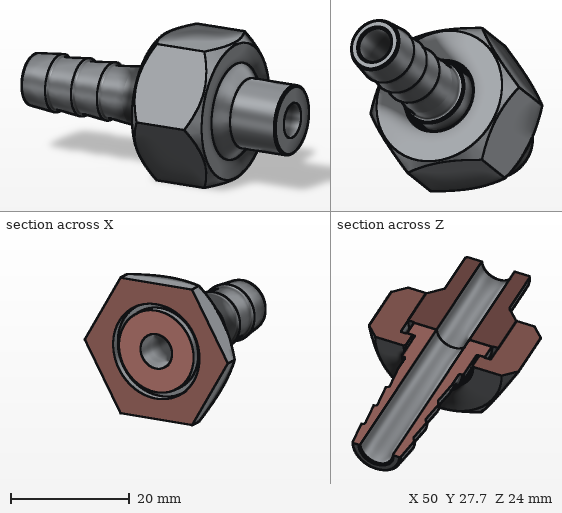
import cadquery as cq
import math

OVERALL_LENGTH = 50.0
BORE_DIAMETER = 6.0
EDGE_CHAMFER = 0.25

BARB_PITCH = 5.0
BARB_COUNT = 4
BARB_ROOT_RADIUS = 9.0 / 2
BARB_CREST_RADIUS = 10.0 / 2
BARB_FILLET = BARB_CREST_RADIUS - BARB_ROOT_RADIUS
COLLAR_START = 23.0
COLLAR_RADIUS = 11.5 / 2
COLLAR_FILLET = 0.3
FLANGE_RADIUS = 14.5 / 2
FLANGE_THICKNESS = 3.0

NUT_START = 25.5
NUT_LENGTH = 13.5
NUT_END = NUT_START + NUT_LENGTH
NUT_ACROSS_FLATS = 24.0
NUT_FACE_RADIUS = 23.4 / 2
NUT_SHOULDER = 3.0
NUT_HOLE_DIAMETER = 12.3
NUT_HOLE_CHAMFER = 0.3
THREAD_RADIUS = 16.6 / 2

TUBE_RADIUS = 12.0 / 2

FLANGE_START = NUT_START + NUT_SHOULDER
JOINT_X = FLANGE_START + FLANGE_THICKNESS
CONE_END = NUT_END + THREAD_RADIUS - TUBE_RADIUS


def revolve_about_x(profile):
    """Revolve a closed XY profile a full turn about the X axis."""
    return profile.close().revolve(360, (0, 0, 0), (1, 0, 0))


def cylinder_along_x(start, length, radius):
    return cq.Workplane("YZ", origin=(start, 0, 0)).circle(radius).extrude(length)


def make_hose_tail():
    """Hose tail with sloping barbs, a collar and a flange held inside the nut."""
    bore_radius = BORE_DIAMETER / 2
    profile = (
        cq.Workplane("XY")
        .moveTo(EDGE_CHAMFER, bore_radius)
        .lineTo(0, bore_radius + EDGE_CHAMFER)
        .lineTo(0, BARB_ROOT_RADIUS - EDGE_CHAMFER)
        .lineTo(EDGE_CHAMFER, BARB_ROOT_RADIUS)
    )
    diagonal = BARB_FILLET * math.sqrt(0.5)
    for barb in range(1, BARB_COUNT):
        crest_x = barb * BARB_PITCH
        root_x = crest_x + BARB_FILLET
        fillet_middle = (root_x - diagonal, BARB_CREST_RADIUS - diagonal)
        profile = (
            profile.lineTo(crest_x, BARB_CREST_RADIUS)
            .threePointArc(fillet_middle, (root_x, BARB_ROOT_RADIUS))
        )
    neck_end = COLLAR_START - COLLAR_FILLET
    bend = COLLAR_FILLET * math.sqrt(0.5)
    fillet_top = BARB_CREST_RADIUS + COLLAR_FILLET
    profile = (
        profile.lineTo(BARB_COUNT * BARB_PITCH, BARB_CREST_RADIUS)
        .lineTo(neck_end, BARB_CREST_RADIUS)
        .threePointArc((neck_end + bend, fillet_top - bend), (COLLAR_START, fillet_top))
        .lineTo(COLLAR_START, COLLAR_RADIUS - EDGE_CHAMFER)
        .lineTo(COLLAR_START + EDGE_CHAMFER, COLLAR_RADIUS)
        .lineTo(FLANGE_START, COLLAR_RADIUS)
        .lineTo(FLANGE_START, FLANGE_RADIUS)
        .lineTo(JOINT_X, FLANGE_RADIUS)
        .lineTo(JOINT_X, bore_radius)
    )
    return revolve_about_x(profile)


def make_nut():
    """Hexagonal nut, corners turned off at 45 degrees, with a stepped bore."""
    corner_radius = NUT_ACROSS_FLATS / math.sqrt(3)
    corner_chamfer = corner_radius - NUT_FACE_RADIUS
    hexagon = (
        cq.Workplane("YZ", origin=(NUT_START, 0, 0))
        .polygon(6, 2 * corner_radius)
        .extrude(NUT_LENGTH)
    )
    turned_blank = (
        cylinder_along_x(NUT_START, NUT_LENGTH, corner_radius)
        .faces("<X or >X")
        .chamfer(corner_chamfer)
    )
    hole = cylinder_along_x(NUT_START, NUT_LENGTH, NUT_HOLE_DIAMETER / 2)
    thread_bore = cylinder_along_x(FLANGE_START, NUT_LENGTH - NUT_SHOULDER, THREAD_RADIUS)
    nut = hexagon.intersect(turned_blank).cut(hole).cut(thread_bore)
    return nut.faces("<X").edges("%CIRCLE").edges(
        cq.selectors.RadiusNthSelector(0)
    ).chamfer(NUT_HOLE_CHAMFER)


def make_adapter():
    """Adapter filling the nut thread, with a 45 degree cone down to a tube end."""
    bore_radius = BORE_DIAMETER / 2
    profile = (
        cq.Workplane("XY")
        .moveTo(JOINT_X, bore_radius)
        .lineTo(JOINT_X, THREAD_RADIUS)
        .lineTo(NUT_END, THREAD_RADIUS)
        .lineTo(CONE_END, TUBE_RADIUS)
        .lineTo(OVERALL_LENGTH - EDGE_CHAMFER, TUBE_RADIUS)
        .lineTo(OVERALL_LENGTH, TUBE_RADIUS - EDGE_CHAMFER)
        .lineTo(OVERALL_LENGTH, bore_radius)
    )
    return revolve_about_x(profile)


hose_tail = make_hose_tail()
nut = make_nut()
adapter = make_adapter()

result = cq.Compound.makeCompound([hose_tail.val(), nut.val(), adapter.val()])